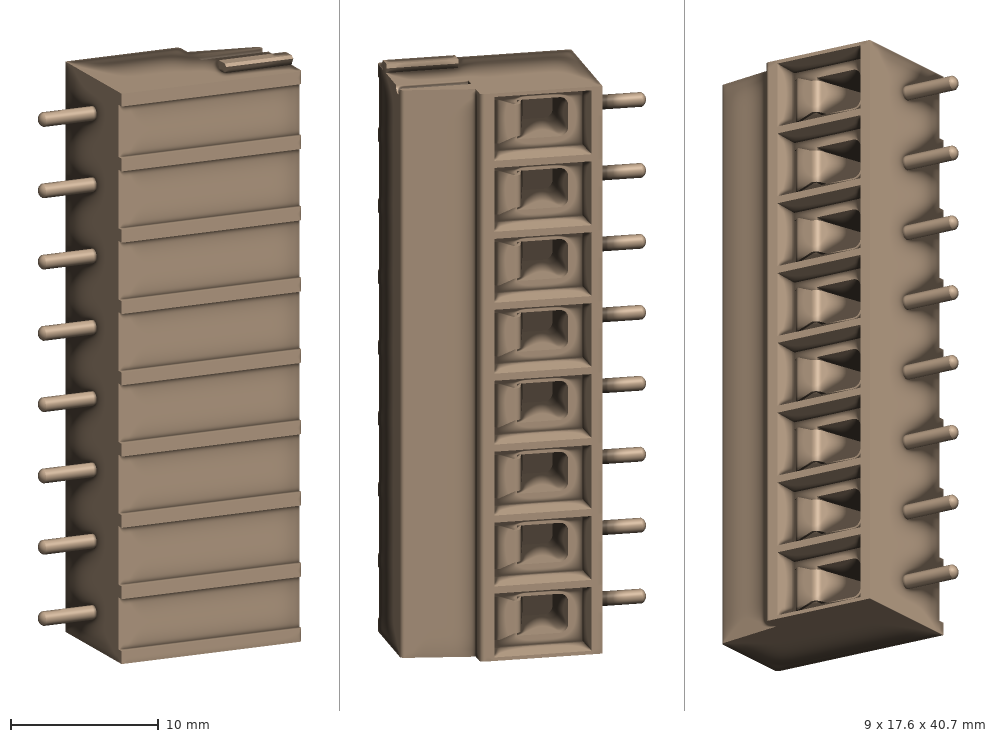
import cadquery as cq
import math


pole_count = 8
pole_pitch = 5.0
body_height = pole_count * pole_pitch
pole_centers = [(index + 0.5) * pole_pitch for index in range(pole_count)]

body_width = 9.0
body_depth = 13.5
step_y = 8.5
slope_foot_x = 1.3
slope_angle = math.radians(10)
edge_radius = 0.3
slope_top_x = slope_foot_x + (body_depth - step_y) * math.tan(slope_angle)

rib_width = 0.9
rib_height = 0.5

pin_x = body_width / 2
pin_radius = 0.5
pin_length = 4.1
pin_tip_height = 0.32
pin_root = 1.0

groove_x = 3.05
groove_radius = 0.5
key_height = 0.68
key_profile = [
    (6.47, 0.0),
    (6.25, 0.38),
    (6.31, key_height),
    (7.26, key_height),
    (7.5, 0.5),
    (7.21, 0.0),
]

window_y_min = 0.75
window_y_max = 7.5
window_height = 4.5
window_inset = 0.2
window_draft_depth = 1.5
window_floor_x = 1.8
inner_y_min = window_y_min + window_inset
inner_y_max = window_y_max - window_inset
inner_height = window_height - 2 * window_inset

hole_y_min = 1.95
hole_y_max = 5.5
hole_height = 2.75
hole_corner_radius = 0.6
hole_floor_x = 6.3

clip_proud = 0.25
clip_front_x = window_floor_x - clip_proud
clip_edge_radius = 0.42
clip_wide_height = 3.05
clip_narrow_height = 2.25
clip_end_y = 7.22
clip_taper_start_y = clip_end_y - clip_edge_radius
clip_taper_end_y = 5.75
bend_radius = 0.55
tongue_angle = math.radians(15)


def make_body():
    body = (
        cq.Workplane("XY")
        .moveTo(0, 0)
        .lineTo(body_width, 0)
        .lineTo(body_width, body_depth)
        .lineTo(slope_top_x, body_depth)
        .lineTo(slope_foot_x, step_y)
        .lineTo(0, step_y)
        .close()
        .extrude(body_height)
    )
    corner_points = [(body_width, body_depth), (slope_top_x, body_depth), (0, step_y)]
    for x, y in corner_points:
        corner = cq.selectors.NearestToPointSelector((x, y, body_height / 2))
        body = body.edges("|Z").edges(corner).fillet(edge_radius)
    return body


def make_rib_gap(center_z):
    """Space between two spacer ribs; the ribs sit on the pole boundaries."""
    lower = center_z - pole_pitch / 2 + rib_width / 2
    upper = center_z + pole_pitch / 2 - rib_width / 2
    if center_z == pole_centers[0]:
        lower = rib_width
    if center_z == pole_centers[-1]:
        upper = body_height - rib_width
    return cq.Workplane("XY").box(
        rib_height, body_depth, upper - lower, centered=False
    ).translate((body_width - rib_height, 0, lower))


def make_groove():
    return (
        cq.Workplane("XZ", origin=(groove_x, body_depth, body_height))
        .circle(groove_radius)
        .extrude(body_depth - step_y)
    )


def make_key():
    return (
        cq.Workplane("XZ", origin=(0, body_depth, body_height))
        .polyline(key_profile)
        .close()
        .extrude(body_depth - step_y)
    )


def make_pin(center_z):
    """Round pin with a shallow domed tip, revolved about its own axis along Y."""
    dome_radius = (pin_radius**2 + pin_tip_height**2) / (2 * pin_tip_height)
    dome_half_angle = math.asin(pin_radius / dome_radius) / 2
    dome_mid_x = dome_radius * math.sin(dome_half_angle)
    dome_mid_y = dome_radius * (1 - math.cos(dome_half_angle)) - pin_length
    return (
        cq.Workplane("XY", origin=(pin_x, 0, center_z))
        .moveTo(0, pin_root)
        .lineTo(-pin_radius, pin_root)
        .lineTo(-pin_radius, pin_tip_height - pin_length)
        .threePointArc((-dome_mid_x, dome_mid_y), (0, -pin_length))
        .close()
        .revolve(360, (0, 0, 0), (0, 1, 0))
    )


def make_window(center_z):
    """Opening that narrows over the draft depth and then runs straight to the window floor."""
    mouth_y = (window_y_min + window_y_max) / 2
    mouth_length = window_y_max - window_y_min
    inner_length = inner_y_max - inner_y_min
    mouth = (
        cq.Workplane("YZ", origin=(0, mouth_y, center_z))
        .rect(mouth_length, window_height)
        .workplane(offset=window_draft_depth)
        .rect(inner_length, inner_height)
        .loft()
    )
    straight = (
        cq.Workplane("YZ", origin=(window_draft_depth, mouth_y, center_z))
        .rect(inner_length, inner_height)
        .extrude(window_floor_x - window_draft_depth)
    )
    return mouth.union(straight)


def make_hole(center_z):
    hole_y = (hole_y_min + hole_y_max) / 2
    return (
        cq.Workplane("YZ", origin=(window_floor_x, hole_y, center_z))
        .rect(hole_y_max - hole_y_min, hole_height)
        .extrude(hole_floor_x - window_floor_x)
        .edges("|X and <Y")
        .fillet(hole_corner_radius)
    )


def make_clip_pocket(center_z):
    """Pocket that lets the clip's rounded +Y end and its bend sink below the window floor."""
    end_pocket = cq.Workplane("XY").box(
        clip_edge_radius, inner_y_max - clip_taper_start_y, clip_wide_height, centered=(False, False, True)
    ).translate((window_floor_x, clip_taper_start_y, center_z))
    bend_pocket = cq.Workplane("XY").box(
        bend_radius, clip_taper_end_y - hole_y_max, clip_narrow_height, centered=(False, False, True)
    ).translate((window_floor_x, hole_y_max, center_z))
    return end_pocket.union(bend_pocket)


def make_clip(center_z):
    """Rounded +Y end, flat front and a tongue bent into the hole, cut to the tapered front outline."""
    bend_x = clip_front_x + bend_radius
    bend_mid_angle = (math.pi / 2 + tongue_angle) / 2
    tongue_start_x = bend_x - bend_radius * math.sin(tongue_angle)
    tongue_start_y = clip_taper_end_y - bend_radius * math.cos(tongue_angle)
    tongue_end_y = tongue_start_y - (hole_floor_x - tongue_start_x) * math.tan(tongue_angle)
    end_x = clip_front_x + clip_edge_radius
    end_mid = clip_edge_radius * math.sqrt(0.5)
    side = (
        cq.Workplane("XY", origin=(0, 0, center_z))
        .moveTo(end_x, clip_end_y)
        .threePointArc((end_x - end_mid, clip_taper_start_y + end_mid), (clip_front_x, clip_taper_start_y))
        .lineTo(clip_front_x, clip_taper_end_y)
        .threePointArc(
            (
                bend_x - bend_radius * math.sin(bend_mid_angle),
                clip_taper_end_y - bend_radius * math.cos(bend_mid_angle),
            ),
            (tongue_start_x, tongue_start_y),
        )
        .lineTo(hole_floor_x, tongue_end_y)
        .lineTo(hole_floor_x, clip_end_y)
        .close()
        .extrude(clip_wide_height / 2, both=True)
    )
    half_wide = clip_wide_height / 2
    half_narrow = clip_narrow_height / 2
    front = (
        cq.Workplane("YZ", origin=(0, 0, center_z))
        .moveTo(clip_end_y, half_wide)
        .lineTo(clip_taper_start_y, half_wide)
        .lineTo(clip_taper_end_y, half_narrow)
        .lineTo(hole_y_min, half_narrow)
        .lineTo(hole_y_min, -half_narrow)
        .lineTo(clip_taper_end_y, -half_narrow)
        .lineTo(clip_taper_start_y, -half_wide)
        .lineTo(clip_end_y, -half_wide)
        .close()
        .extrude(hole_floor_x)
    )
    return side.intersect(front)


result = make_body().cut(make_groove()).union(make_key())
for pole_z in pole_centers:
    result = result.cut(make_rib_gap(pole_z))
    result = result.cut(make_window(pole_z)).cut(make_hole(pole_z)).cut(make_clip_pocket(pole_z))
    result = result.union(make_clip(pole_z)).union(make_pin(pole_z))